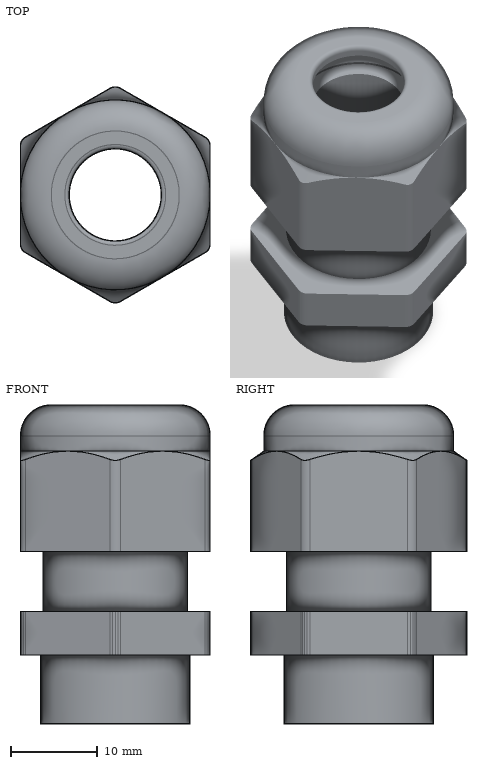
import cadquery as cq
import math

across_flats = 22.0
flat_radius = across_flats / 2
corner_round = 1.2
corner_facets = 4
sharp_corner_radius = flat_radius / math.cos(math.pi / 6)
corner_radius = sharp_corner_radius - corner_round * (1 / math.cos(math.pi / 6) - 1)

thread_top = 8.0
collar_top = 13.05
nut_bottom = 19.98
seal_top = 32.8
shank_top = 33.08
nut_ceiling = 35.7
nut_top = 37.0

thread_radius = 8.65
shank_radius = 8.4
seal_seat_radius = 7.03
cable_radius = 5.33

band_bottom = 31.65
corner_chamfer_drop = 1.07
dome_round = 3.6
mouth_round = 0.5

seal_bottom = nut_bottom


def cylinder(radius, bottom, top):
    return cq.Workplane("XY").workplane(offset=bottom).circle(radius).extrude(top - bottom)


def sharp_hexagon(bottom, top):
    """Hexagonal prism with flats facing +X and -X and corners on the Y axis."""
    corners = [
        (sharp_corner_radius * math.sin(k * math.pi / 3), sharp_corner_radius * math.cos(k * math.pi / 3))
        for k in range(6)
    ]
    return cq.Workplane("XY").workplane(offset=bottom).polyline(corners).close().extrude(top - bottom)


def faceted_hexagon(bottom, top):
    """The same prism, with each corner broken into narrow flat facets around an arc."""
    arc_center_radius = corner_radius - corner_round
    facet_angle = math.pi / 3 / corner_facets
    points = []
    for k in range(6):
        corner_angle = k * math.pi / 3
        for j in range(corner_facets + 1):
            angle = corner_angle - math.pi / 6 + j * facet_angle
            points.append((
                arc_center_radius * math.sin(corner_angle) + corner_round * math.sin(angle),
                arc_center_radius * math.cos(corner_angle) + corner_round * math.cos(angle),
            ))
    return cq.Workplane("XY").workplane(offset=bottom).polyline(points).close().extrude(top - bottom)


def make_body():
    """Threaded end, hexagonal collar and shank, bored for the cable and the seal."""
    body = cylinder(thread_radius, 0, thread_top)
    body = body.union(faceted_hexagon(thread_top, collar_top))
    body = body.union(cylinder(shank_radius, collar_top, shank_top))
    body = body.cut(cylinder(cable_radius, 0, seal_bottom))
    return body.cut(cylinder(seal_seat_radius, seal_bottom, shank_top))


def make_seal():
    """Sleeve around the cable, seated in the top of the body."""
    return cylinder(seal_seat_radius, seal_bottom, seal_top).cut(
        cylinder(cable_radius, seal_bottom, seal_top)
    )


def make_cap_nut():
    """Domed nut over the shank, with a hexagonal skirt and a rounded cable mouth."""
    skirt = sharp_hexagon(nut_bottom, band_bottom).edges("|Z").fillet(corner_round)
    chamfer_slope = corner_chamfer_drop / (corner_radius - flat_radius)
    cone_radius = sharp_corner_radius
    cone_foot = band_bottom - chamfer_slope * (cone_radius - flat_radius)
    chamfer_envelope = (
        cq.Workplane("XZ")
        .polyline([
            (0, nut_bottom),
            (cone_radius, nut_bottom),
            (cone_radius, cone_foot),
            (flat_radius, band_bottom),
            (0, band_bottom),
        ])
        .close()
        .revolve(360, (0, 0), (0, 1))
    )
    skirt = skirt.intersect(chamfer_envelope)

    dome = cylinder(flat_radius, band_bottom, nut_top).faces(">Z").edges().fillet(dome_round)
    mouth = cylinder(cable_radius, nut_ceiling, nut_top)
    cavity = cylinder(shank_radius, nut_bottom, nut_ceiling)
    nut = skirt.union(dome).cut(cavity).cut(mouth)
    mouth_rim = cq.selectors.RadiusNthSelector(0)
    return nut.faces(">Z").edges(mouth_rim).fillet(mouth_round)


body = make_body()
seal = make_seal()
cap_nut = make_cap_nut()

result = cq.Compound.makeCompound([body.val(), seal.val(), cap_nut.val()])